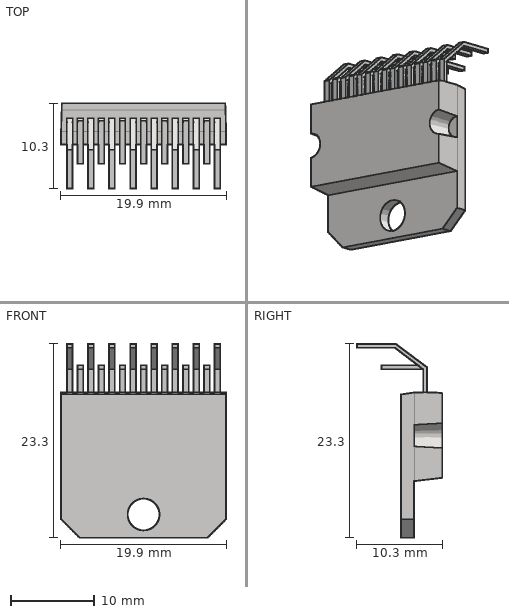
import cadquery as cq


package_width = 19.9
tab_thickness = 1.6
tab_height = 6.8
tab_corner_chamfer = 2.25
tab_hole_diameter = 3.8
tab_hole_height = 2.8

body_depth = 5.0
body_top = 17.5
front_top_drop = 0.24
back_top_drop = 0.08
top_ridge_inset = 0.77
bottom_draft = 0.4
side_draft = 0.1

notch_height = 12.3
notch_back_diameter = 3.0
notch_front_diameter = 2.6

lead_pitch = 2.54
long_lead_count = 8
short_lead_count = long_lead_count - 1
lead_width = 0.72
lead_thickness = 0.49
lead_back = 3.17
lead_front = lead_back - lead_thickness
lead_embedding = 1.0
lead_root = body_top - lead_embedding
bend_outer_height = 20.53
bend_inner_height = 20.28

long_lead_top = 23.34
long_lead_tip = -5.28
long_bend_outer = -0.6
long_bend_inner = -0.7

short_lead_top = bend_inner_height + lead_thickness
short_lead_tip = -2.32

half_width = package_width / 2


def make_front_slab():
    """Tab and front part of the body, with a sloped top edge."""
    profile = [
        (0, 0),
        (tab_thickness, 0),
        (tab_thickness, body_top),
        (0, body_top - front_top_drop),
    ]
    slab = cq.Workplane("YZ").polyline(profile).close().extrude(half_width, both=True)
    slab = slab.edges("|Y").edges("<Z").chamfer(tab_corner_chamfer)
    hole = (
        cq.Workplane("XZ")
        .center(0, tab_hole_height)
        .circle(tab_hole_diameter / 2)
        .extrude(-tab_thickness)
    )
    return slab.cut(hole)


def make_rear_body():
    """Rear part of the body, drafted on its sides, bottom and top back edge."""
    side_profile = [
        (tab_thickness, tab_height),
        (tab_thickness, body_top),
        (body_depth - top_ridge_inset, body_top),
        (body_depth, body_top - back_top_drop),
        (body_depth, tab_height + bottom_draft),
    ]
    plan_profile = [
        (-half_width, tab_thickness),
        (half_width, tab_thickness),
        (half_width - side_draft, body_depth),
        (-half_width + side_draft, body_depth),
    ]
    side_prism = cq.Workplane("YZ").polyline(side_profile).close().extrude(half_width, both=True)
    plan_prism = cq.Workplane("XY").polyline(plan_profile).close().extrude(body_top)
    return side_prism.intersect(plan_prism)


def make_notch(side):
    """Cone frustum, wider at the back, centred on one side face (side is -1 or 1)."""
    cone = cq.Solid.makeCone(
        notch_front_diameter / 2,
        notch_back_diameter / 2,
        body_depth - tab_thickness,
        cq.Vector(side * half_width, tab_thickness, notch_height),
        cq.Vector(0, 1, 0),
    )
    return cq.Workplane(cone)


def make_lead_row(profile, count):
    """Row of identical leads, centred on X = 0, from a profile in the YZ plane."""
    lead = cq.Workplane("YZ").polyline(profile).close().extrude(lead_width / 2, both=True)
    first_x = -(count - 1) / 2 * lead_pitch
    return [lead.translate((first_x + i * lead_pitch, 0, 0)) for i in range(count)]


long_lead_profile = [
    (lead_back, lead_root),
    (lead_back, bend_outer_height),
    (long_bend_outer, long_lead_top),
    (long_lead_tip, long_lead_top),
    (long_lead_tip, long_lead_top - lead_thickness),
    (long_bend_inner, long_lead_top - lead_thickness),
    (lead_front, bend_inner_height),
    (lead_front, lead_root),
]

long_lead_slope = (long_lead_top - bend_outer_height) / (lead_back - long_bend_outer)
short_bend_outer = lead_back - (short_lead_top - bend_outer_height) / long_lead_slope
short_lead_profile = [
    (lead_back, lead_root),
    (lead_back, bend_outer_height),
    (short_bend_outer, short_lead_top),
    (short_lead_tip, short_lead_top),
    (short_lead_tip, bend_inner_height),
    (lead_front, bend_inner_height),
    (lead_front, lead_root),
]

result = make_front_slab().union(make_rear_body())
for side in (-1, 1):
    result = result.cut(make_notch(side))
for lead in make_lead_row(long_lead_profile, long_lead_count):
    result = result.union(lead)
for lead in make_lead_row(short_lead_profile, short_lead_count):
    result = result.union(lead)